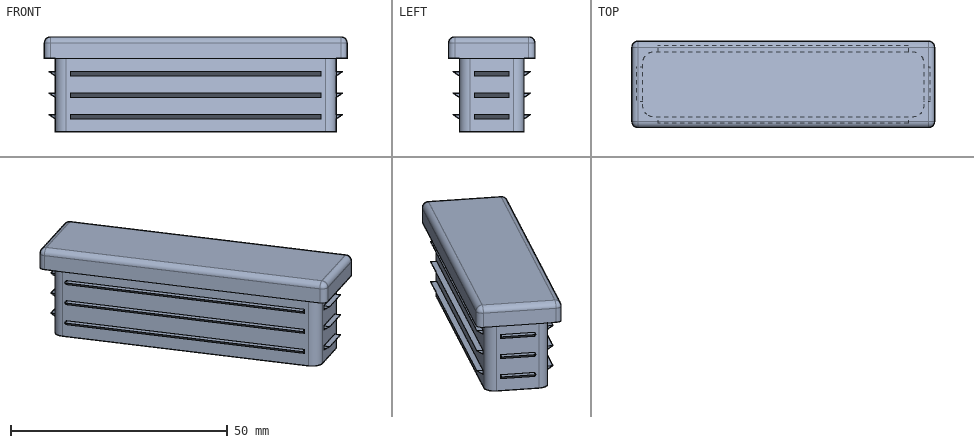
import cadquery as cq

cap_length = 70.0
cap_width = 20.0
cap_height = 5.0
cap_edge_radius = 1.5

plug_inset = 2.5
plug_length = cap_length - 2 * plug_inset
plug_width = cap_width - 2 * plug_inset
plug_corner_radius = 2.5
total_height = 22.0
plug_height = total_height - cap_height

rib_reach = 1.5
rib_thickness = 1.0
rib_end_gap = 3.5
rib_pitch = 5.0
rib_count = 3
lowest_rib_top = 4.0
embed = 0.35


def make_cap():
    cap = cq.Workplane("XY").workplane(offset=plug_height)
    cap = cap.box(cap_length, cap_width, cap_height, centered=(True, True, False))
    return cap.edges("|Z").fillet(cap_edge_radius).faces(">Z").edges().fillet(cap_edge_radius)


def make_plug():
    plug = cq.Workplane("XY").box(plug_length, plug_width, plug_height, centered=(True, True, False))
    return plug.edges("|Z").fillet(plug_corner_radius)


def make_rib(wall_distance, length, top):
    """Rib on the +Y side of a wall, running along X."""
    bottom = top - rib_thickness
    profile = [
        (wall_distance - embed, top),
        (wall_distance + rib_reach, top),
        (wall_distance, bottom),
        (wall_distance - embed, bottom),
    ]
    return cq.Workplane("YZ").polyline(profile).close().extrude(length / 2, both=True)


result = make_plug().union(make_cap())

walls = [
    (0, plug_width / 2, plug_length),
    (90, plug_length / 2, plug_width),
    (180, plug_width / 2, plug_length),
    (270, plug_length / 2, plug_width),
]
for angle, wall_distance, wall_length in walls:
    for index in range(rib_count):
        rib_top = lowest_rib_top + index * rib_pitch
        rib = make_rib(wall_distance, wall_length - 2 * rib_end_gap, rib_top)
        result = result.union(rib.rotate((0, 0, 0), (0, 0, 1), angle))